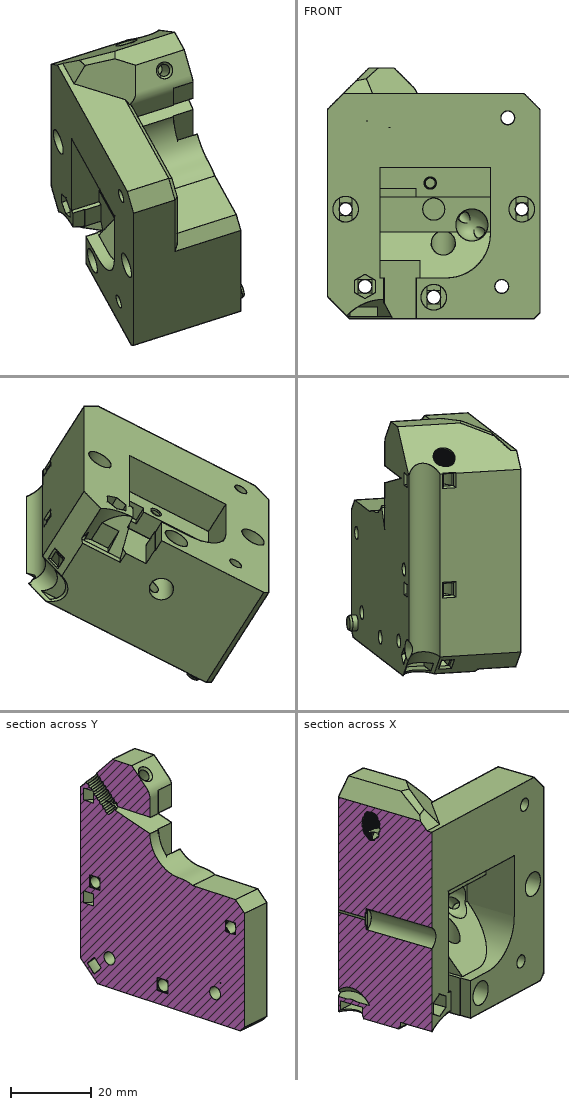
import cadquery as cq
import math

WIDTH = 53.0
DEPTH = 29.0
HEIGHT = 62.5
PLATE_TOP = 56.1
PLATE_FRONT_DEPTH = 11.2
PLATE_EDGE = 1.05
PLATE_DEPTH = PLATE_FRONT_DEPTH + PLATE_EDGE
TOP_CORNER = 4.0
LOW_RIGHT_CORNER = 1.5
LOW_LEFT_CORNER = 5.5

TOWER_LEFT = 10.4
TOWER_RIGHT = 16.6
TOWER_WALL = 22.5
TOWER_ROUND = 3.75
SHOULDER = HEIGHT - TOWER_LEFT
TOWER_BASE = 50.0
FRONT_FOOT = (11.25, 1.45, PLATE_TOP)
CROWN_CORNER = (12.55, 11.95, HEIGHT)
TOWER_FACETS = ((FRONT_FOOT, -90, 45), (CROWN_CORNER, -112.5, 20), (FRONT_FOOT, -45, 45))

LEDGE_HIGH = 36.25
LEDGE_ARC = 9.4
LEDGE_ROLL_ANGLE = 22.0
LEDGE_ROLL_RADIUS = 11.9
LEDGE_CORNER = 2.95

MOTOR_X = WIDTH / 2
MOTOR_Z = 27.3
BOLT_RADIUS = 21.95
HEAD_D = 6.4
HEAD_DEPTH = 20.0
MOTOR_SCREW_D = 3.2
RIGHT_BRIDGE = 3.0
BRIDGE_STEP = 0.3
SHAFT_D = 5.5
SHAFT_DEPTH = 2.0

COVER_D = 3.4
COVER_UPPER = (44.95, 50.05)
COVER_Z = 8.05
COVER_RIGHT_X = 43.45
NUT_X = 9.4
NUT_FLATS = 5.25
NUT_DEPTH = 12.5

POCKET_LEFT = 13.05
POCKET_RIGHT = 40.6
POCKET_TOP = 37.75
POCKET_BOTTOM = 10.2
POCKET_ROUND = 11.0
POCKET_FLOOR = 14.55
UPPER_FLOOR = 8.75
UPPER_BOTTOM = 30.4
RELIEF_FLOOR = 12.5
RELIEF_RIGHT = 22.05
RELIEF_TOP = 32.5
SLOPE_TOP = 21.6
STOP_SCREW = (25.6, 33.8)
STOP_SCREW_D = 2.5
STOP_SCREW_MOUTH_D = 3.05
STOP_SCREW_CHAMFER = 0.3
STOP_SCREW_DEPTH = 2.5
FILAMENT_X = 28.9
FILAMENT_Z = 18.9
FILAMENT_D = 6.0
BALL_X = 36.0
BALL_Z = 23.4
BALL_D = 8.0
WIRE_D = 2.75
WIRE_LENGTH = 11.25
WIRE_SETBACK = 2.5

SLOT_LEFT = 14.2
SLOT_RIGHT = 22.05
SLOT_FLOOR = 7.5
FLANK_FOOT = 16.25
FLANK_TOP = 3.95
SLOT_MOUTH_DEPTH = 3.1
SLOT_MOUTH_STEP = 0.2
SLOT_HEAD_RIGHT = 23.1
SLOT_HEAD_TOP = 14.5

HOLLOW_RADIUS = 13.1
HOLLOW_X = 14.4
HOLLOW_TOP = 4.9
HOLLOW_DEPTH = 9.75
HOLLOW_BACK_TOP = 0.6
DUCT_LEFT = 5.6
DUCT_RIGHT = 12.45
DUCT_BOTTOM = 0.6
DUCT_TOP = 3.0

CABLE_D = 9.0
CABLE_OUT = 2.0
CABLE_Y = 24.95
CABLE_POCKET_WIDTH = 6.75
FLARE_X = 0.95
FLARE_Z = 7.5
FLARE_D = 5.25
FLARE_DEPTH = 2.0
TIE_INNER = 5.55
TIE_OUTER = 7.7
TIE_WIDTH = 3.1
TIE_MOUTH_Y = 18.55
TIE_MOUTH_WIDTH = 3.4
TIE_MOUTH_HEIGHT = 4.0
TIE_MOUTH_DEPTH = 0.6
TIE_MOUTH_TAPER = 35.0
TIE_LEVELS = (22.5, 50.45)
LOW_TIE_Z = 2.9

THREAD_D = 5.5
THREAD_CREST_D = 5.1
THREAD_PITCH = 1.25
THREAD_TURNS = 8
THREAD_X = 3.5
THREAD_Y = 18.9
SENSOR_D = 3.0
SENSOR_MOUTH_D = 4.2
SENSOR_X = 19.05
SENSOR_Y = 22.6
SENSOR_DEPTH = 7.5
SENSOR_CHAMFER = 0.6

NOTCH_LEFT = 22.3
NOTCH_WIDTH = 2.7
NOTCH_DEPTH = 5.4
NOTCH_MIDDLE = 38.75
NOTCH_BOTTOM = 33.75
PIN_X = 48.75
PIN_Z = 4.3
PIN_D = 4.0
PIN_LENGTH = 2.0
PIN_CHAMFER = 0.3
PIN_TIP = 0.6

CUT_SIZE = 125.0
DOWN_RIGHT = (1, 0, -1)
DOWN_LEFT = (-1, 0, -1)


def front_plane(y):
    """Plane at depth y with local axes X and Z, facing -Y."""
    return cq.Workplane("XZ", origin=(0, y, 0))


def prism(sketch, length):
    """Extrude a front-plane sketch toward +Y."""
    return sketch.extrude(-length)


def block(x0, x1, y0, y1, z0, z1):
    return cq.Workplane("XY").box(x1 - x0, y1 - y0, z1 - z0, centered=False).translate((x0, y0, z0))


def bore(x, z, diameter, depth, start=0.0):
    return prism(front_plane(start).center(x, z).circle(diameter / 2), depth)


def rod(start, direction, diameter, length):
    cylinder = cq.Solid.makeCylinder(diameter / 2, length, cq.Vector(*start), cq.Vector(*direction))
    return cq.Workplane(obj=cylinder)


def countersink(start, direction, mouth_d, hole_d, depth):
    """Conical cutter that narrows along the given direction."""
    cone = cq.Solid.makeCone(mouth_d / 2, hole_d / 2, depth, cq.Vector(*start), cq.Vector(*direction))
    return cq.Workplane(obj=cone)


def beyond(point, azimuth, tilt):
    """Half space above a plane tilted from level, facing the given compass angle."""
    a = math.radians(azimuth)
    t = math.radians(tilt)
    normal = (math.sin(t) * math.cos(a), math.sin(t) * math.sin(a), math.cos(t))
    plane = cq.Plane(origin=point, xDir=(-math.sin(a), math.cos(a), 0), normal=normal)
    return cq.Workplane(plane).rect(CUT_SIZE, CUT_SIZE).extrude(CUT_SIZE)


def plate():
    outline = (
        front_plane(0)
        .moveTo(LOW_LEFT_CORNER, 0)
        .lineTo(WIDTH - LOW_RIGHT_CORNER, 0)
        .lineTo(WIDTH, LOW_RIGHT_CORNER)
        .lineTo(WIDTH, PLATE_TOP - TOP_CORNER)
        .lineTo(WIDTH - TOP_CORNER, PLATE_TOP)
        .lineTo(PLATE_TOP - SHOULDER, PLATE_TOP)
        .lineTo(0, SHOULDER)
        .lineTo(0, LOW_LEFT_CORNER)
        .close()
    )
    solid = prism(outline, PLATE_DEPTH)
    rim = cq.selectors.BoxSelector((TOWER_LEFT, 0, LOW_RIGHT_CORNER), (2 * WIDTH, DEPTH, HEIGHT))
    return solid.faces(">Y").edges(rim).chamfer(PLATE_EDGE)


def rear_body():
    arc_x = TOWER_WALL + LEDGE_ARC
    roll = math.radians(LEDGE_ROLL_ANGLE)
    flat_x = arc_x + LEDGE_ROLL_RADIUS * math.sin(roll)
    flat_z = LEDGE_HIGH - LEDGE_ROLL_RADIUS * (1 - math.cos(roll))
    roll_mid = (
        arc_x + LEDGE_ROLL_RADIUS * math.sin(roll / 2),
        LEDGE_HIGH - LEDGE_ROLL_RADIUS * (1 - math.cos(roll / 2)),
    )
    arc_reach = LEDGE_ARC * (1 - math.sqrt(0.5))
    arc_mid = (TOWER_WALL + arc_reach, LEDGE_HIGH + arc_reach)
    outline = (
        front_plane(PLATE_FRONT_DEPTH)
        .moveTo(LOW_LEFT_CORNER, 0)
        .lineTo(WIDTH - LOW_RIGHT_CORNER, 0)
        .lineTo(WIDTH, LOW_RIGHT_CORNER)
        .lineTo(WIDTH, flat_z - LEDGE_CORNER)
        .lineTo(WIDTH - LEDGE_CORNER, flat_z)
        .lineTo(flat_x, flat_z)
        .threePointArc(roll_mid, (arc_x, LEDGE_HIGH))
        .threePointArc(arc_mid, (TOWER_WALL, LEDGE_HIGH + LEDGE_ARC))
        .lineTo(0, SHOULDER)
        .lineTo(0, LOW_LEFT_CORNER)
        .close()
    )
    return prism(outline, DEPTH - PLATE_FRONT_DEPTH)


def tower():
    round_x = TOWER_WALL - TOWER_ROUND * (1 - math.sqrt(0.5))
    round_z = HEIGHT - (round_x - TOWER_RIGHT)
    wall_z = round_z - TOWER_ROUND * math.sqrt(0.5)
    half = math.radians(45 / 2)
    round_mid = (TOWER_WALL - TOWER_ROUND * (1 - math.cos(half)), wall_z + TOWER_ROUND * math.sin(half))
    outline = (
        front_plane(0)
        .moveTo(0, TOWER_BASE)
        .lineTo(0, SHOULDER)
        .lineTo(TOWER_LEFT, HEIGHT)
        .lineTo(TOWER_RIGHT, HEIGHT)
        .lineTo(round_x, round_z)
        .threePointArc(round_mid, (TOWER_WALL, wall_z))
        .lineTo(TOWER_WALL, TOWER_BASE)
        .close()
    )
    solid = prism(outline, DEPTH)
    for point, azimuth, tilt in TOWER_FACETS:
        solid = solid.cut(beyond(point, azimuth, tilt))
    return solid


def screw_bore(x, z, diameter, bridge, head, head_depth):
    """Stepped screw hole: head recess, bridged slot, bridged square, then the clear hole."""
    head_column = prism(head, DEPTH)
    recess = head_column.cut(block(0, WIDTH, head_depth, DEPTH, -HEIGHT, HEIGHT))
    slot = prism(front_plane(0).center(x, z).rect(bridge, HEAD_D), head_depth + BRIDGE_STEP)
    slot = slot.intersect(head_column)
    square = prism(front_plane(0).center(x, z).rect(bridge, bridge), head_depth + 2 * BRIDGE_STEP)
    return recess.union(slot).union(square).union(bore(x, z, diameter, DEPTH))


def screw_holes():
    cuts = bore(*COVER_UPPER, COVER_D, DEPTH).union(bore(COVER_RIGHT_X, COVER_Z, COVER_D, DEPTH))
    motor_screws = (
        (MOTOR_X - BOLT_RADIUS, MOTOR_Z, MOTOR_SCREW_D, MOTOR_SCREW_D),
        (MOTOR_X + BOLT_RADIUS, MOTOR_Z, MOTOR_SCREW_D, RIGHT_BRIDGE),
        (MOTOR_X, MOTOR_Z - BOLT_RADIUS, COVER_D, COVER_D),
    )
    for x, z, diameter, bridge in motor_screws:
        head = front_plane(0).center(x, z).circle(HEAD_D / 2)
        cuts = cuts.union(screw_bore(x, z, diameter, bridge, head, HEAD_DEPTH))
    corner_d = NUT_FLATS / math.cos(math.pi / 6)
    nut = front_plane(0).center(NUT_X, COVER_Z).transformed(rotate=(0, 0, 30)).polygon(6, corner_d)
    return cuts.union(screw_bore(NUT_X, COVER_Z, COVER_D, COVER_D, nut, NUT_DEPTH))


def gear_pocket():
    full = block(POCKET_LEFT, POCKET_RIGHT, 0, POCKET_FLOOR, POCKET_BOTTOM, POCKET_TOP)
    full = full.edges("|Y and >X and <Z").fillet(POCKET_ROUND)
    ramp_foot = POCKET_FLOOR - (SLOPE_TOP - POCKET_BOTTOM)
    ramp = (
        cq.Workplane("YZ")
        .moveTo(ramp_foot, POCKET_BOTTOM)
        .lineTo(POCKET_FLOOR, POCKET_BOTTOM)
        .lineTo(POCKET_FLOOR, SLOPE_TOP)
        .close()
        .extrude(WIDTH)
    )
    roof = block(POCKET_LEFT, POCKET_RIGHT, UPPER_FLOOR, POCKET_FLOOR, UPPER_BOTTOM, POCKET_TOP)
    relief = block(POCKET_LEFT, RELIEF_RIGHT, 0, RELIEF_FLOOR, UPPER_BOTTOM, RELIEF_TOP)
    cuts = full.cut(ramp).cut(roof).union(relief)
    cuts = cuts.union(bore(MOTOR_X, MOTOR_Z, SHAFT_D, SHAFT_DEPTH, POCKET_FLOOR))
    cuts = cuts.union(bore(*STOP_SCREW, STOP_SCREW_D, STOP_SCREW_DEPTH, UPPER_FLOOR))
    mouth = (STOP_SCREW[0], UPPER_FLOOR, STOP_SCREW[1])
    cuts = cuts.union(countersink(mouth, (0, 1, 0), STOP_SCREW_MOUTH_D, STOP_SCREW_D, STOP_SCREW_CHAMFER))
    filament_y = POCKET_FLOOR - (SLOPE_TOP - FILAMENT_Z)
    cuts = cuts.union(rod((FILAMENT_X, filament_y, 0), (0, 0, 1), FILAMENT_D, SLOPE_TOP))
    return cuts


def ball_pocket():
    """Round pocket with a hemispherical end."""
    radius = BALL_D / 2
    reach = radius * math.sqrt(0.5)
    profile = (
        cq.Workplane("XY", origin=(BALL_X, 0, BALL_Z))
        .lineTo(radius, 0)
        .lineTo(radius, POCKET_FLOOR)
        .threePointArc((reach, POCKET_FLOOR + reach), (0, POCKET_FLOOR + radius))
        .close()
    )
    return profile.revolve(360, (0, 0, 0), (0, 1, 0))


def wire_hole():
    """Slanting wire hole that crosses the ball pocket."""
    shift = WIRE_LENGTH / 2 * math.sqrt(0.5)
    start = (BALL_X - shift, POCKET_FLOOR + WIRE_SETBACK, BALL_Z + shift)
    return rod(start, DOWN_RIGHT, WIRE_D, WIRE_LENGTH)


def lower_slot():
    step = SLOT_MOUTH_STEP
    throat_points = [
        (FLANK_FOOT, 0),
        (SLOT_RIGHT, 0),
        (SLOT_RIGHT, SLOT_HEAD_TOP),
        (SLOT_LEFT, SLOT_HEAD_TOP),
        (SLOT_LEFT, FLANK_TOP),
    ]
    throat = prism(front_plane(0).polyline(throat_points).close(), SLOT_FLOOR)
    mouth = block(SLOT_LEFT - step, SLOT_LEFT, 0, SLOT_MOUTH_DEPTH, FLANK_TOP, POCKET_BOTTOM)
    mouth = mouth.union(block(SLOT_RIGHT, SLOT_RIGHT + step, 0, SLOT_MOUTH_DEPTH, 0, POCKET_BOTTOM))
    head = block(POCKET_LEFT, SLOT_HEAD_RIGHT, 0, SLOT_FLOOR, POCKET_BOTTOM, SLOT_HEAD_TOP)
    return throat.union(mouth).union(head)


def corner_hollow():
    heel = HOLLOW_DEPTH + HOLLOW_BACK_TOP
    wedge = (
        cq.Workplane("YZ")
        .polyline([(0, 0), (heel, 0), (HOLLOW_DEPTH, HOLLOW_BACK_TOP), (0, HOLLOW_TOP)])
        .close()
        .extrude(FLANK_FOOT)
    )
    arch = bore(HOLLOW_X, HOLLOW_TOP - HOLLOW_RADIUS, 2 * HOLLOW_RADIUS, heel)
    duct = block(DUCT_LEFT, DUCT_RIGHT, 0, HOLLOW_DEPTH, DUCT_BOTTOM, DUCT_TOP)
    flank_points = [
        (0, 0),
        (FLANK_FOOT, 0),
        (SLOT_LEFT, FLANK_TOP),
        (SLOT_LEFT, HOLLOW_TOP),
        (0, HOLLOW_TOP),
    ]
    flank = prism(front_plane(0).polyline(flank_points).close(), heel)
    return wedge.union(duct).intersect(arch).intersect(flank)


def tie_tunnel(center, direction, face_normal):
    """Curved tunnel for a cable tie around the groove, with a flared mouth on the outer face."""
    along = cq.Vector(*direction).normalized()
    middle = cq.Vector(*center)
    start = (middle - along * (TIE_WIDTH / 2)).toTuple()
    core = rod(start, direction, 2 * TIE_INNER, TIE_WIDTH)
    ring = rod(start, direction, 2 * TIE_OUTER, TIE_WIDTH).cut(core)
    inward = cq.Vector(*face_normal).normalized() * -1
    face_point = middle + inward * CABLE_OUT
    origin = (face_point.x, TIE_MOUTH_Y, face_point.z)
    plane = cq.Plane(origin=origin, xDir=(0, 1, 0), normal=inward.toTuple())
    mouth = cq.Workplane(plane).rect(TIE_MOUTH_WIDTH, TIE_MOUTH_HEIGHT)
    return ring.union(mouth.extrude(TIE_MOUTH_DEPTH, taper=TIE_MOUTH_TAPER))


def cable_groove():
    bend_z = LOW_LEFT_CORNER + CABLE_OUT * (1 - math.sqrt(2))
    bend = (-CABLE_OUT, CABLE_Y, bend_z)
    cuts = rod(bend, (0, 0, 1), CABLE_D, HEIGHT).union(rod(bend, DOWN_RIGHT, CABLE_D, WIDTH))
    cuts = cuts.union(cq.Workplane("XY").sphere(CABLE_D / 2).translate(bend))
    half = CABLE_POCKET_WIDTH / 2
    cuts = cuts.union(block(0, DUCT_RIGHT, CABLE_Y - half, CABLE_Y + half, DUCT_BOTTOM, DUCT_TOP))
    flare_mouth = (FLARE_X, DEPTH, FLARE_Z)
    cuts = cuts.union(countersink(flare_mouth, (0, -1, 0), FLARE_D, 0, FLARE_DEPTH))
    for level in TIE_LEVELS:
        cuts = cuts.union(tie_tunnel((-CABLE_OUT, CABLE_Y, level), (0, 0, 1), (-1, 0, 0)))
    low_x = LOW_LEFT_CORNER - LOW_TIE_Z
    out = CABLE_OUT * math.sqrt(0.5)
    return cuts.union(tie_tunnel((low_x - out, CABLE_Y, LOW_TIE_Z - out), DOWN_RIGHT, (-1, 0, -1)))


def thread_hole():
    """Threaded hole square to the sloping left shoulder, its thread modelled as plain rings."""
    mouth = cq.Vector(THREAD_X, THREAD_Y, SHOULDER + THREAD_X)
    inward = cq.Vector(*DOWN_RIGHT).normalized()
    cuts = rod(mouth.toTuple(), DOWN_RIGHT, THREAD_CREST_D, THREAD_TURNS * THREAD_PITCH)
    for turn in range(THREAD_TURNS):
        start = mouth + inward * (turn * THREAD_PITCH)
        cuts = cuts.union(rod(start.toTuple(), DOWN_RIGHT, THREAD_D, THREAD_PITCH / 2))
    return cuts


def sensor_hole():
    """Countersunk hole square to the sloping right side of the tower."""
    mouth = (SENSOR_X, SENSOR_Y, HEIGHT - (SENSOR_X - TOWER_RIGHT))
    sink = countersink(mouth, DOWN_LEFT, SENSOR_MOUTH_D, SENSOR_D, SENSOR_CHAMFER)
    return rod(mouth, DOWN_LEFT, SENSOR_D, SENSOR_DEPTH).union(sink)


def rear_notch():
    right = NOTCH_LEFT + NOTCH_WIDTH
    points = [(NOTCH_LEFT, HEIGHT), (right, HEIGHT), (right, NOTCH_MIDDLE), (NOTCH_LEFT, NOTCH_BOTTOM)]
    return prism(front_plane(DEPTH - NOTCH_DEPTH).polyline(points).close(), NOTCH_DEPTH)


def locating_pin():
    return bore(PIN_X, PIN_Z, PIN_D, PIN_LENGTH, DEPTH).faces(">Y").chamfer(PIN_TIP, PIN_CHAMFER)


result = plate().union(rear_body()).union(tower())
for cutter in (
    screw_holes(),
    gear_pocket(),
    ball_pocket(),
    wire_hole(),
    lower_slot(),
    corner_hollow(),
    cable_groove(),
    thread_hole(),
    sensor_hole(),
    rear_notch(),
):
    result = result.cut(cutter)
result = result.union(locating_pin())